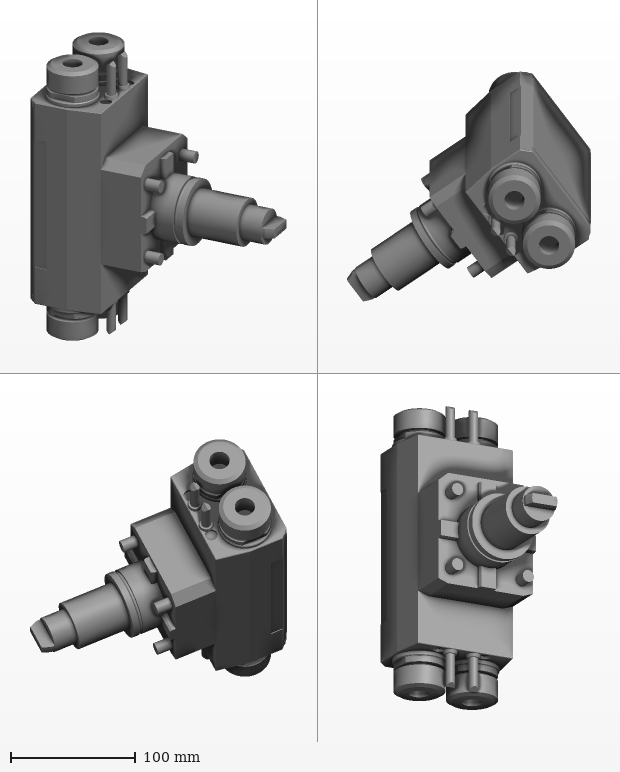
import cadquery as cq
import math

casing_width = 95.0
casing_half_height = 88.5
casing_back_x = 64.7
casing_back_width = 85.5
taper_start_x = 36.5
front_chamfer = 7.9
casing_edge_chamfer = 0.5
cover_half_height = 78.3
cover_step = 0.7

panel_length = 10.2
panel_half_height = 56.2
panel_depth = 0.7
corner_rib_radius = 3.5
corner_rib_rise = 0.5
corner_rib_length = 5.0
corner_rib_gap = 0.7

nut_x = 30.0
nut_y = 23.8
nut_radius = 21.0
nut_end_z = 118.3
nut_base_z = 100.5
nut_rim_drop = 2.1
nut_rim_inset = 3.5
nut_bore_radius = 8.0
nut_bore_depth = 19.0
neck_lip_radius = 16.7
neck_radius = 15.7
neck_lip_height = 1.5
wrench_flats = 36.2
wrench_top_z = 97.5
flange_top_z = 92.5
flange_radius = 22.0
flange_chamfer = 0.7

pin_x = 58.0
pin_y = 10.5
pin_radius = 3.8
pin_end_z = 119.0
pin_roof_height = 3.0
collar_base_radius = 6.0
collar_top_radius = 5.2
collar_height = 2.9
socket_y = 20.2
socket_radius = 5.0
socket_depth = 2.4

axis_z = -2.9
block_end_x = 100.2
block_half_width = casing_back_width / 2
block_top_z = 46.5
block_bottom_z = -47.4
block_chamfer_width = 8.8
block_top_chamfer_height = 7.4
block_bottom_chamfer_height = 3.0

key_width = 15.0
key_height = 5.0
key_chamfer_height = 2.1
key_chamfer_width = 1.0
key_z_reach = 44.5
bolt_offset = 32.0
bolt_radius = 5.0
bolt_length = 12.9

spigot_radius = 27.5
groove_start_x = 121.5
groove_end_x = 124.7
groove_floor_radius = 25.5
ring_crest_radius = 27.0
spigot_end_x = 130.2
shaft_radius = 20.0
shaft_end_x = 174.5
nose_radius = 14.8
nose_end_x = 193.7
tang_radius = 14.0
tang_taper_x = 197.0
tang_tip_radius = 11.5
tang_end_x = 204.0
tang_thickness = 8.0

both_ends = (1, -1)


def upright_cylinder(x, y, radius, z_start, z_end):
    """Vertical cylinder between two heights."""
    return cq.Workplane("XY", origin=(x, y, z_start)).circle(radius).extrude(z_end - z_start)


def mirrored_to_bottom(body):
    """The body together with its mirror image below z = 0."""
    return body.union(body.mirror("XY"))


def make_casing():
    half = casing_width / 2
    back_half = casing_back_width / 2
    outline = [
        (0, half - front_chamfer),
        (front_chamfer, half),
        (taper_start_x, half),
        (casing_back_x, back_half),
        (casing_back_x, -back_half),
        (taper_start_x, -half),
        (front_chamfer, -half),
        (0, -half + front_chamfer),
    ]
    casing = (
        cq.Workplane("XY")
        .workplane(offset=-casing_half_height)
        .polyline(outline)
        .close()
        .extrude(2 * casing_half_height)
        .faces("|Z")
        .edges()
        .chamfer(casing_edge_chamfer)
    )

    step_height = casing_half_height - cover_half_height
    for end in both_ends:
        step = cq.Workplane("XY").box(2 * cover_step, casing_width, step_height)
        step_z = end * (cover_half_height + casing_half_height) / 2
        casing = casing.cut(step.translate((0, 0, step_z)))

    rib_top_z = casing_half_height - corner_rib_gap
    rib_inset = front_chamfer / 2 + (corner_rib_radius - corner_rib_rise) / math.sqrt(2)
    panel_end_x = front_chamfer + panel_length
    for side in both_ends:
        panel = cq.Workplane("XY").box(panel_end_x, 2 * panel_depth, 2 * panel_half_height)
        casing = casing.cut(panel.translate((panel_end_x / 2, side * half, 0)))
        rib = upright_cylinder(
            rib_inset,
            side * (half - rib_inset),
            corner_rib_radius,
            rib_top_z - corner_rib_length,
            rib_top_z,
        )
        casing = casing.union(mirrored_to_bottom(rib))
    return casing


def make_nut(y):
    """Collet nut on the top end: flange, two wrench flats, neck and bored cap."""
    flange = upright_cylinder(nut_x, y, flange_radius, casing_half_height, flange_top_z)
    flange = flange.faces("|Z").edges().chamfer(flange_chamfer)
    wrench_section = upright_cylinder(nut_x, y, nut_radius, flange_top_z, wrench_top_z)
    flats = cq.Workplane("XY").box(2 * nut_radius, wrench_flats, 2 * nut_end_z)
    wrench_section = wrench_section.intersect(flats.translate((nut_x, y, 0)))
    neck_lip_z = nut_base_z - neck_lip_height
    neck = upright_cylinder(nut_x, y, neck_radius, wrench_top_z, neck_lip_z)
    neck_lip = upright_cylinder(nut_x, y, neck_lip_radius, neck_lip_z, nut_base_z)
    cap = upright_cylinder(nut_x, y, nut_radius, nut_base_z, nut_end_z)
    cap = cap.faces(">Z").edges().chamfer(nut_rim_drop, nut_rim_inset)
    bore = upright_cylinder(nut_x, y, nut_bore_radius, nut_end_z - nut_bore_depth, nut_end_z)
    return flange.union(wrench_section).union(neck).union(neck_lip).union(cap).cut(bore)


def make_pin(y):
    """Pin on the top end with a roof-shaped tip, ridge along Y, and a conical collar."""
    roof_base_z = pin_end_z - pin_roof_height
    roof = (
        cq.Workplane("XZ", origin=(pin_x, y, 0))
        .moveTo(-pin_radius, 0)
        .lineTo(-pin_radius, roof_base_z)
        .lineTo(0, pin_end_z)
        .lineTo(pin_radius, roof_base_z)
        .lineTo(pin_radius, 0)
        .close()
        .extrude(pin_radius, both=True)
    )
    pin = upright_cylinder(pin_x, y, pin_radius, casing_half_height, pin_end_z).intersect(roof)
    collar = (
        cq.Workplane("XY", origin=(pin_x, y, casing_half_height))
        .circle(collar_base_radius)
        .workplane(offset=collar_height)
        .circle(collar_top_radius)
        .loft()
    )
    return pin.union(collar)


def make_block():
    inner_half = block_half_width - block_chamfer_width
    outline = [
        (-inner_half, block_top_z),
        (inner_half, block_top_z),
        (block_half_width, block_top_z - block_top_chamfer_height),
        (block_half_width, block_bottom_z + block_bottom_chamfer_height),
        (inner_half, block_bottom_z),
        (-inner_half, block_bottom_z),
        (-block_half_width, block_bottom_z + block_bottom_chamfer_height),
        (-block_half_width, block_top_z - block_top_chamfer_height),
    ]
    return (
        cq.Workplane("YZ", origin=(casing_back_x, 0, 0))
        .polyline(outline)
        .close()
        .extrude(block_end_x - casing_back_x)
    )


def make_key_bar(reach):
    """Key bar along Y through the spindle axis, long edges chamfered."""
    return (
        cq.Workplane("XY")
        .box(key_height, 2 * reach, key_width)
        .faces(">X")
        .edges("|Y")
        .chamfer(key_chamfer_width, key_chamfer_height)
        .translate((block_end_x + key_height / 2, 0, axis_z))
    )


def make_keys():
    axis_start = (0, 0, axis_z)
    axis_end = (1, 0, axis_z)
    upright_bar = make_key_bar(key_z_reach).rotate(axis_start, axis_end, 90)
    return make_key_bar(block_half_width).union(upright_bar)


def make_bolts():
    return (
        cq.Workplane("YZ", origin=(block_end_x, 0, axis_z))
        .rect(2 * bolt_offset, 2 * bolt_offset, forConstruction=True)
        .vertices()
        .circle(bolt_radius)
        .extrude(bolt_length)
    )


def make_shank():
    """Spigot with a sealing ring in its groove, then shaft and nose, turned about X."""
    profile = (
        cq.Workplane("XY")
        .moveTo(block_end_x, 0)
        .lineTo(block_end_x, spigot_radius)
        .lineTo(groove_start_x, spigot_radius)
        .lineTo(groove_start_x, groove_floor_radius)
        .threePointArc(
            ((groove_start_x + groove_end_x) / 2, ring_crest_radius),
            (groove_end_x, groove_floor_radius),
        )
        .lineTo(groove_end_x, spigot_radius)
        .lineTo(spigot_end_x, spigot_radius)
        .lineTo(spigot_end_x, shaft_radius)
        .lineTo(shaft_end_x, shaft_radius)
        .lineTo(shaft_end_x, nose_radius)
        .lineTo(nose_end_x, nose_radius)
        .lineTo(nose_end_x, 0)
        .close()
    )
    return profile.revolve(360, (0, 0, 0), (1, 0, 0)).translate((0, 0, axis_z))


def make_tang():
    """Flat drive tang cut from a turned, tapered tip."""
    tip = (
        cq.Workplane("XY")
        .moveTo(nose_end_x, 0)
        .lineTo(nose_end_x, tang_radius)
        .lineTo(tang_taper_x, tang_radius)
        .lineTo(tang_end_x, tang_tip_radius)
        .lineTo(tang_end_x, 0)
        .close()
        .revolve(360, (0, 0, 0), (1, 0, 0))
    )
    slab = cq.Workplane("XY").box(2 * tang_end_x, 2 * tang_radius, tang_thickness)
    return tip.intersect(slab).translate((0, 0, axis_z))


result = make_casing()
for side in both_ends:
    result = result.union(mirrored_to_bottom(make_nut(side * nut_y)))
    result = result.union(mirrored_to_bottom(make_pin(side * pin_y)))
    socket = upright_cylinder(
        pin_x, side * socket_y, socket_radius, casing_half_height - socket_depth, casing_half_height
    )
    result = result.cut(mirrored_to_bottom(socket))

for body in (make_block(), make_keys(), make_bolts(), make_shank(), make_tang()):
    result = result.union(body)